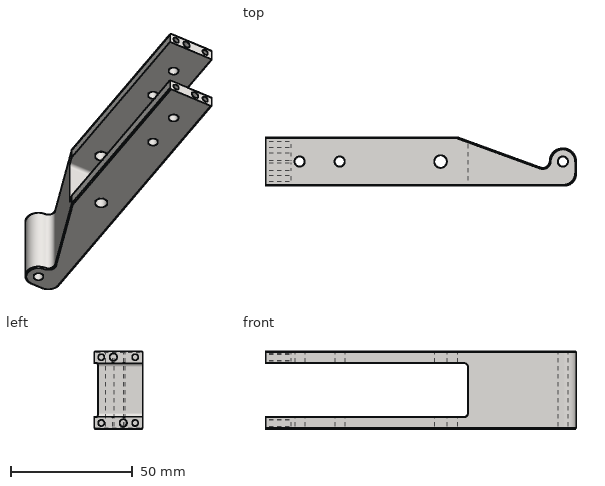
import cadquery as cq
import math

LENGTH = 127.5
WIDTH = 20.0
HEIGHT = 32.0
EDGE_BREAK = 0.5

SLOT_LENGTH = 83.0
ARM_THICKNESS = 5.0
SLOT_CORNER_RADIUS = 1.5

TAPER_START = 78.7
TAPER_ANGLE = 20.0
KNUCKLE_RADIUS = 5.5
FRONT_CORNER_RADIUS = 5.1
NECK_RADIUS = 2.8

PIN_DIAMETER = 4.1
ARM_PIN_POSITIONS = (13.9, 30.3)
PIVOT_DIAMETER = 5.1
PIVOT_POSITION = 71.8

END_HOLE_DEPTH = 10.2
SCREW_DIAMETER = 2.5
SCREW_POSITIONS = (3.2, 17.1)
DOWEL_DIAMETER = 3.0
UPPER_DOWEL_POSITION = 12.1
LOWER_DOWEL_POSITION = 8.0

center_y = WIDTH / 2
knuckle_x = LENGTH - KNUCKLE_RADIUS
neck_x = knuckle_x - KNUCKLE_RADIUS
neck_y = WIDTH - (neck_x - TAPER_START) * math.tan(math.radians(TAPER_ANGLE))


def make_body():
    """Extrude the outline, round its vertical corners and bevel both rims."""
    body = (
        cq.Workplane("XY")
        .workplane(offset=-HEIGHT / 2)
        .moveTo(0, 0)
        .lineTo(LENGTH, 0)
        .lineTo(LENGTH, center_y)
        .threePointArc((knuckle_x, center_y + KNUCKLE_RADIUS), (neck_x, center_y))
        .lineTo(neck_x, neck_y)
        .lineTo(TAPER_START, WIDTH)
        .lineTo(0, WIDTH)
        .close()
        .extrude(HEIGHT)
    )
    body = body.edges(cq.selectors.NearestToPointSelector((LENGTH, 0, 0))).fillet(FRONT_CORNER_RADIUS)
    body = body.edges(cq.selectors.NearestToPointSelector((neck_x, neck_y, 0))).fillet(NECK_RADIUS)
    rim = body.faces("<Z or >Z").edges()
    left_end = body.faces("<X").edges()
    return rim.newObject([edge for edge in rim.vals() if edge not in left_end.vals()]).chamfer(EDGE_BREAK)


def make_slot():
    """Opening between the arms, rounded at its closed end."""
    return (
        cq.Workplane("XY")
        .box(SLOT_LENGTH, WIDTH, HEIGHT - 2 * ARM_THICKNESS, centered=(False, False, True))
        .edges("|Y and >X")
        .fillet(SLOT_CORNER_RADIUS)
    )


def vertical_hole(x, diameter):
    return cq.Workplane("XY").center(x, center_y).circle(diameter / 2).extrude(HEIGHT / 2, both=True)


def end_hole(y, z, diameter):
    return cq.Workplane("YZ").center(y, z).circle(diameter / 2).extrude(END_HOLE_DEPTH)


result = make_body().cut(make_slot())

for pin_x in (*ARM_PIN_POSITIONS, knuckle_x):
    result = result.cut(vertical_hole(pin_x, PIN_DIAMETER))
result = result.cut(vertical_hole(PIVOT_POSITION, PIVOT_DIAMETER))

arm_center_z = (HEIGHT - ARM_THICKNESS) / 2
for arm_z, dowel_y in ((arm_center_z, UPPER_DOWEL_POSITION), (-arm_center_z, LOWER_DOWEL_POSITION)):
    for screw_y in SCREW_POSITIONS:
        result = result.cut(end_hole(screw_y, arm_z, SCREW_DIAMETER))
    result = result.cut(end_hole(dowel_y, arm_z, DOWEL_DIAMETER))